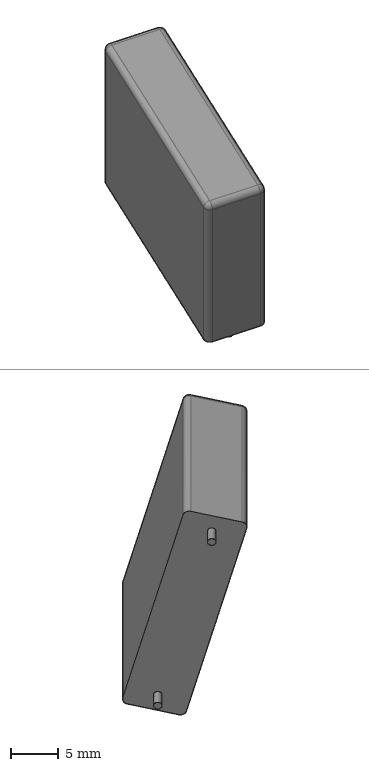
import cadquery as cq

case_length = 26.5
case_width = 7.0
case_height = 21.0
edge_radius = 0.7

lead_pitch = 22.5
lead_diameter = 0.9
overall_height = 22.9
lead_length = overall_height - case_height


def make_case():
    """Block with rounded vertical and top edges and a sharp-edged flat base."""
    block = cq.Workplane("XY").box(
        case_length, case_width, case_height, centered=(True, True, False)
    )
    return block.edges("|Z or >Z").fillet(edge_radius)


def make_leads():
    """Two leads hanging from the base, on the long centre line of the case."""
    return (
        cq.Workplane("XY")
        .pushPoints([(side * lead_pitch / 2, 0) for side in (-1, 1)])
        .circle(lead_diameter / 2)
        .extrude(-lead_length)
    )


result = make_case().union(make_leads())